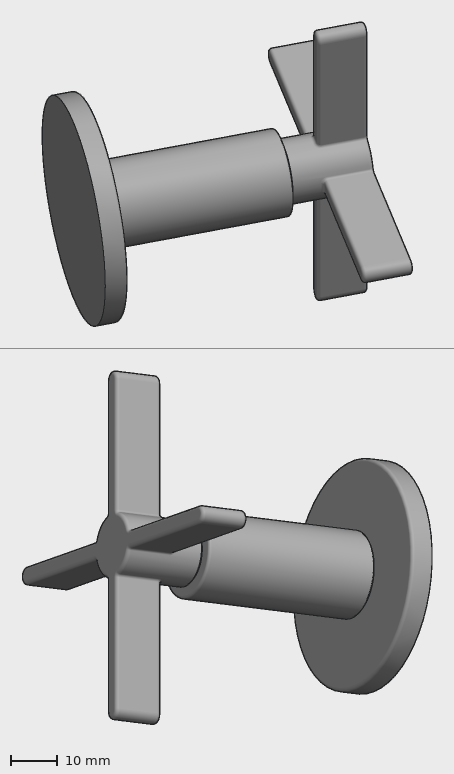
import cadquery as cq

span = 76.2
total_length = 64.8

flange_diameter = 50.3
flange_thickness = 5.0
flange_round = 0.8
sleeve_diameter = 19.2
sleeve_gap = 0.3
spigot_diameter = 18.6
sleeve_end = 46.2
sleeve_round = 0.6

hub_diameter = 14.3
hub_start = 46.7
neck_diameter = 13.25

blade_count = 4
blade_thickness = 4.0
blade_width = 11.1
blade_round = 0.85
root_round = 0.7


def cylinder(diameter, start, end):
    """Cylinder along +Y between two positions on the part axis."""
    return cq.Workplane("XZ", origin=(0, start, 0)).circle(diameter / 2).extrude(start - end)


def make_blade(angle):
    """Blade from the axis outward, with a full round tip and a rounded front edge."""
    straight = (span - blade_thickness) / 2
    half = blade_thickness / 2
    return (
        cq.Workplane("XZ", origin=(0, total_length, 0))
        .moveTo(0, -half)
        .lineTo(straight, -half)
        .threePointArc((span / 2, 0), (straight, half))
        .lineTo(0, half)
        .close()
        .extrude(blade_width)
        .faces("<Y")
        .edges("not <X")
        .fillet(blade_round)
        .rotate((0, 0, 0), (0, 1, 0), angle)
    )


def make_handle():
    """Hub and crossed blades, with rounded roots and a rounded back outline."""
    handle = cylinder(hub_diameter, hub_start, total_length)
    for index in range(blade_count):
        handle = handle.union(make_blade(index * 360 / blade_count))

    reach = hub_diameter / 2 + root_round
    hub_zone = cq.selectors.BoxSelector(
        (-reach, hub_start - root_round, -reach),
        (reach, total_length + root_round, reach),
        boundingbox=True,
    )
    front_edges = cq.selectors.StringSyntaxSelector("<Y")
    back_edges = cq.selectors.StringSyntaxSelector(">Y")
    handle = handle.edges(hub_zone - front_edges - back_edges).fillet(root_round)
    return handle.faces(">Y").edges().fillet(blade_round)


flange = cylinder(flange_diameter, 0, flange_thickness).faces(">Y").edges().fillet(flange_round)
sleeve_start = flange_thickness + sleeve_gap
spigot = cylinder(spigot_diameter, flange_thickness, sleeve_start)
sleeve = cylinder(sleeve_diameter, sleeve_start, sleeve_end).faces(">Y").edges().fillet(sleeve_round)
neck = cylinder(neck_diameter, sleeve_end, hub_start)

result = flange.union(spigot).union(sleeve).union(neck).union(make_handle())